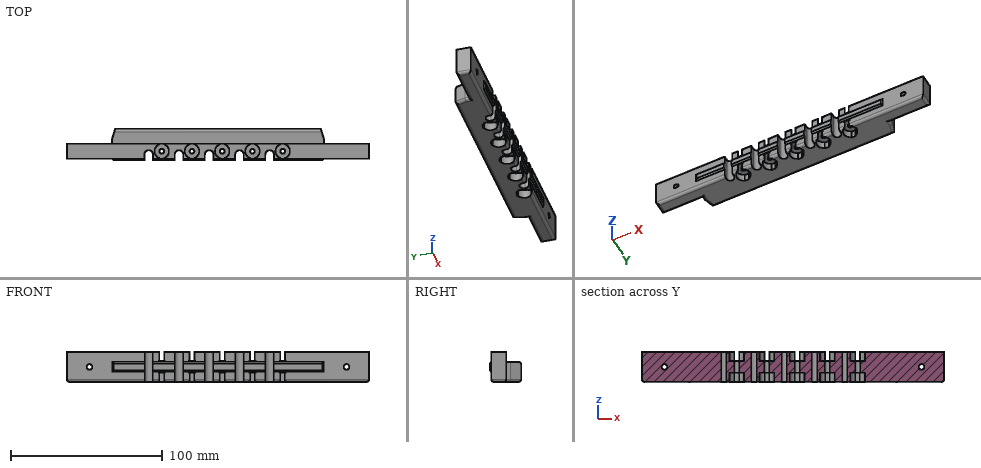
import cadquery as cq

bar_length = 200.0
bar_depth = 10.0
bar_height = 20.0
bar_mid_x = bar_length / 2
bar_mid_y = bar_depth / 2
bar_mid_z = bar_height / 2

edge_radius = 2.0

flange_length = 140.5
flange_back_length = 136.0
flange_straight_depth = 2.8
flange_depth = 10.0
flange_height = 13.5

rib_length = 140.0
rib_height = 6.5
rib_rise = 1.0
rib_inset = 1.2

station_count = 5
station_pitch = 20.0

groove_start_x = 54.2
groove_width = 5.5
groove_depth = 5.5

pocket_start_x = 62.8
pocket_diameter = 9.5
pocket_depth = 6.0
bore_diameter = 3.0
slot_width = 3.0

end_hole_diameter = 3.5
end_hole_inset = 15.0


def station_points(start_x, y):
    return [(start_x + i * station_pitch, y) for i in range(station_count)]


def make_body():
    bar = cq.Workplane("XY").box(bar_length, bar_depth, bar_height, centered=False)
    half_length = flange_length / 2
    half_back = flange_back_length / 2
    taper_start_y = bar_depth + flange_straight_depth
    back_y = bar_depth + flange_depth
    outline = [
        (bar_mid_x - half_length, bar_mid_y),
        (bar_mid_x + half_length, bar_mid_y),
        (bar_mid_x + half_length, taper_start_y),
        (bar_mid_x + half_back, back_y),
        (bar_mid_x - half_back, back_y),
        (bar_mid_x - half_length, taper_start_y),
    ]
    flange = cq.Workplane("XY").polyline(outline).close().extrude(flange_height)
    body = bar.union(flange)
    body = body.faces("<Z").edges().fillet(edge_radius)
    return body.faces(">Y").edges(">Z").fillet(edge_radius)


def make_rib():
    rib = cq.Workplane("XZ").center(bar_mid_x, bar_mid_z).rect(rib_length, rib_height)
    return (
        rib.workplane(offset=rib_rise)
        .rect(rib_length - 2 * rib_inset, rib_height - 2 * rib_inset)
        .loft()
    )


def make_grooves():
    groove_radius = groove_width / 2
    arc_center_y = groove_depth - groove_radius
    straight_depth = arc_center_y + rib_rise
    straight_mid_y = arc_center_y - straight_depth / 2
    round_ends = (
        cq.Workplane("XY")
        .pushPoints(station_points(groove_start_x, arc_center_y))
        .circle(groove_radius)
        .extrude(bar_height)
    )
    straights = (
        cq.Workplane("XY")
        .pushPoints(station_points(groove_start_x, straight_mid_y))
        .rect(groove_width, straight_depth)
        .extrude(bar_height)
    )
    return round_ends.union(straights)


def make_pockets():
    centers = station_points(pocket_start_x, bar_mid_y)
    pockets = cq.Workplane("XY").pushPoints(centers).circle(bore_diameter / 2).extrude(bar_height)
    for floor_z in (0, bar_height - pocket_depth):
        level = cq.Workplane("XY").workplane(offset=floor_z).pushPoints(centers)
        pockets = pockets.union(level.circle(pocket_diameter / 2).extrude(pocket_depth))
        pockets = pockets.union(level.rect(slot_width, bar_depth).extrude(pocket_depth))
    return pockets


def make_end_holes():
    centers = [(end_hole_inset, bar_mid_z), (bar_length - end_hole_inset, bar_mid_z)]
    return cq.Workplane("XZ").pushPoints(centers).circle(end_hole_diameter / 2).extrude(-bar_depth)


result = (
    make_body()
    .union(make_rib())
    .cut(make_grooves())
    .cut(make_pockets())
    .cut(make_end_holes())
)